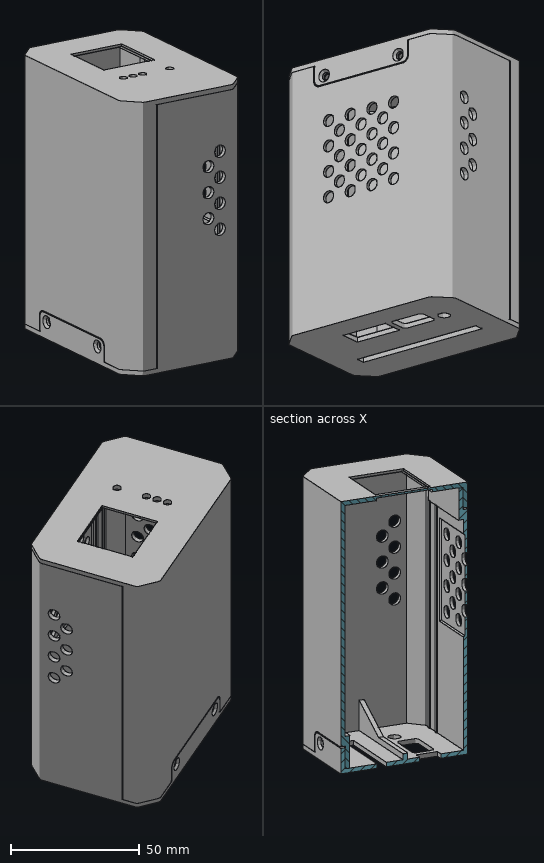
import cadquery as cq
import math

LENGTH = 82.0
DEPTH = 55.2
HEIGHT = 112.5
WALL = 2.0
CORNER_CUT = 6.9
BEND_RADIUS = 2.0
GAP = 0.5
SEAM_Y = -14.3

FRONT_Y = -DEPTH / 2
BACK_Y = DEPTH / 2
INNER_FRONT_Y = FRONT_Y + WALL
INNER_BACK_Y = BACK_Y - WALL
FLOOR_TOP_Z = WALL
CEILING_Z = HEIGHT - WALL

TAB_HALF_WIDTH = 23.0
TAB_HEIGHT = 10.7
TAB_RADIUS = 2.5
LIP_HALF_WIDTH = 27.0
LIP_HEIGHT = 15.4
SCREW_X = 18.2
SCREW_Z = 7.1
SCREW_DIAMETER = 3.2
SCREW_HEAD_DIAMETER = 5.2
PILOT_DIAMETER = 2.2
SCREW_POINTS = [(-SCREW_X, SCREW_Z), (SCREW_X, SCREW_Z)]

WINDOW_SIDE = 23.6
WINDOW_X = -13.3
DISPLAY_POCKET_LENGTH = 28.1
DISPLAY_POCKET_WIDTH = 24.1
DISPLAY_POCKET_DEPTH = 1.0
INDICATOR_DIAMETER = 3.2
INDICATOR_X = 10.8
INDICATOR_Y = (-10.7, -6.2, -1.7, 10.9)

VENT_DIAMETER = 5.0
VENT_PITCH = 5.34
VENT_ROWS = 7
VENT_BOTTOM_Z = 54.0
SIDE_VENT_Y = (14.7, 14.7 - VENT_PITCH)
BACK_VENT_COLUMNS = ((-3, -1, 1, 3), (-2, 0, 2))
VENT_POCKET_DEPTH = 0.6
VENT_POCKET_MARGIN = 2.2
VENT_POCKET_TAPER = 45.0

GUIDE_X = (23.6, 30.0)
GUIDE_WIDTH = 1.2
GUIDE_HEIGHT = 0.5

CONNECTOR_Y = (6.6, 15.8)
SOCKET_X = (-20.7, -5.3)
SOCKET_RADIUS = 1.6
PLUG_X = (-2.8, 18.0)
FLOOR_HOLE_DIAMETER = 5.0
FLOOR_HOLE_CENTER = (-26.2, 8.4)
SLOT_X = (-29.2, 29.2)
SLOT_Y = (-11.8, -7.9)

RIB_Y = (-0.7, 1.5)
RIB_TOP_Z = 4.5
RIB_FLAT_HALF_LENGTH = 21.6
RIB_RAMP_ANGLE = 30.0


def box_between(x, y, z):
    """Box spanning the (low, high) pairs along the three axes."""
    size = (x[1] - x[0], y[1] - y[0], z[1] - z[0])
    return cq.Workplane("XY").box(*size, centered=False).translate((x[0], y[0], z[0]))


def octagon_prism(inset, z):
    """Rectangle with cut corners, every side moved in by the inset."""
    return (
        cq.Workplane("XY")
        .workplane(offset=z[0])
        .rect(LENGTH - 2 * inset, DEPTH - 2 * inset)
        .extrude(z[1] - z[0])
        .edges("|Z")
        .chamfer(CORNER_CUT - inset * (2 - math.sqrt(2)))
    )


def outer_prism(z):
    """Outside of the enclosure, with rounded bends."""
    return octagon_prism(0, z).edges("|Z").fillet(BEND_RADIUS)


def wall_ring():
    """All the upright walls between the floor and the top plate."""
    z = (FLOOR_TOP_Z, CEILING_Z)
    return outer_prism(z).cut(octagon_prism(WALL, z))


def space_in_front_of(y):
    """The half of the enclosure's space on the front side of a plane."""
    return box_between((-LENGTH / 2, LENGTH / 2), (FRONT_Y, y), (0, HEIGHT))


def holes_along_y(diameter, points, y):
    """Holes at (x, z) points between two y positions."""
    return (
        cq.Workplane("XZ", origin=(0, y[1], 0))
        .pushPoints(points)
        .circle(diameter / 2)
        .extrude(y[1] - y[0])
    )


def tab_block(growth):
    """Front bottom tab with two rounded corners, enlarged by the growth."""
    half = TAB_HALF_WIDTH + growth
    block = box_between((-half, half), (FRONT_Y, INNER_FRONT_Y), (0, TAB_HEIGHT + growth))
    return block.edges("|Y and >Z").fillet(TAB_RADIUS + growth)


def screw_tab():
    """Front bottom tab with two countersunk screw holes."""
    tab = tab_block(0).cut(holes_along_y(SCREW_DIAMETER, SCREW_POINTS, (FRONT_Y, INNER_FRONT_Y)))
    head_radius = SCREW_HEAD_DIAMETER / 2
    screw_radius = SCREW_DIAMETER / 2
    for x, z in SCREW_POINTS:
        mouth = cq.Vector(x, FRONT_Y, z)
        sink = cq.Solid.makeCone(
            head_radius, screw_radius, head_radius - screw_radius, mouth, cq.Vector(0, 1, 0)
        )
        tab = tab.cut(cq.Workplane(sink))
    return tab


def screw_lip():
    """Plate behind the front bottom tab with two pilot holes."""
    y = (INNER_FRONT_Y, INNER_FRONT_Y + WALL)
    lip = box_between((-LIP_HALF_WIDTH, LIP_HALF_WIDTH), y, (FLOOR_TOP_Z, LIP_HEIGHT))
    return lip.cut(holes_along_y(PILOT_DIAMETER, SCREW_POINTS, y))


def at_back_top(shape):
    """Half turn about the length axis: front bottom becomes back top."""
    return shape.rotate((0, 0, HEIGHT / 2), (1, 0, HEIGHT / 2), 180)


def vent_row_z(row):
    return VENT_BOTTOM_Z + row * VENT_PITCH


def side_vents():
    """Two staggered columns through both side walls."""
    points = [(SIDE_VENT_Y[row % 2], vent_row_z(row)) for row in range(VENT_ROWS)]
    return (
        cq.Workplane("YZ", origin=(-LENGTH / 2, 0, 0))
        .pushPoints(points)
        .circle(VENT_DIAMETER / 2)
        .extrude(LENGTH)
    )


def back_vents():
    """Staggered vents in the back wall and the shallow pocket inside them."""
    points = [
        (column * VENT_PITCH, vent_row_z(row))
        for row in range(VENT_ROWS)
        for column in BACK_VENT_COLUMNS[row % 2]
    ]
    holes = holes_along_y(VENT_DIAMETER, points, (INNER_BACK_Y, BACK_Y))

    reach = VENT_DIAMETER / 2 + VENT_POCKET_MARGIN + VENT_POCKET_DEPTH
    half_length = max(BACK_VENT_COLUMNS[0]) * VENT_PITCH + reach
    pocket_z = (VENT_BOTTOM_Z - reach, vent_row_z(VENT_ROWS - 1) + reach)
    pocket = (
        cq.Workplane("XZ", origin=(0, INNER_BACK_Y, sum(pocket_z) / 2))
        .rect(2 * half_length, pocket_z[1] - pocket_z[0])
        .extrude(-VENT_POCKET_DEPTH, taper=VENT_POCKET_TAPER)
    )
    return holes.union(pocket)


def guide_ribs():
    """Low vertical ribs on the back wall, from the floor to the lip, on both sides."""
    y = (INNER_BACK_Y - GUIDE_HEIGHT, INNER_BACK_Y)
    ribs = cq.Workplane("XY")
    for x in GUIDE_X:
        for side in (-1, 1):
            across = (side * x - GUIDE_WIDTH / 2, side * x + GUIDE_WIDTH / 2)
            ribs = ribs.add(box_between(across, y, (FLOOR_TOP_Z, HEIGHT - LIP_HEIGHT)))
    return ribs.combine()


def floor_rib():
    end_x = LENGTH / 2 - WALL
    rise = (end_x - RIB_FLAT_HALF_LENGTH) * math.tan(math.radians(RIB_RAMP_ANGLE))
    outline = [
        (-end_x, FLOOR_TOP_Z),
        (end_x, FLOOR_TOP_Z),
        (end_x, RIB_TOP_Z + rise),
        (RIB_FLAT_HALF_LENGTH, RIB_TOP_Z),
        (-RIB_FLAT_HALF_LENGTH, RIB_TOP_Z),
        (-end_x, RIB_TOP_Z + rise),
    ]
    return (
        cq.Workplane("XZ", origin=(0, RIB_Y[1], 0))
        .polyline(outline)
        .close()
        .extrude(RIB_Y[1] - RIB_Y[0])
    )


def floor_openings():
    z = (0, FLOOR_TOP_Z)
    socket = box_between(SOCKET_X, CONNECTOR_Y, z).edges("|Z").fillet(SOCKET_RADIUS)
    plug = box_between(PLUG_X, CONNECTOR_Y, z)
    slot = box_between(SLOT_X, SLOT_Y, z)
    hole = cq.Workplane("XY").center(*FLOOR_HOLE_CENTER).circle(FLOOR_HOLE_DIAMETER / 2).extrude(WALL)
    return socket.add(plug).add(slot).add(hole).combine()


def top_openings():
    """Display window with its wider pocket underneath, and the indicator holes."""
    plate = cq.Workplane("XY", origin=(0, 0, CEILING_Z))
    window = plate.center(WINDOW_X, 0).rect(WINDOW_SIDE, WINDOW_SIDE).extrude(WALL)
    pocket = (
        plate.center(WINDOW_X, 0)
        .rect(DISPLAY_POCKET_LENGTH, DISPLAY_POCKET_WIDTH)
        .extrude(DISPLAY_POCKET_DEPTH)
    )
    indicators = (
        plate.pushPoints([(INDICATOR_X, y) for y in INDICATOR_Y])
        .circle(INDICATOR_DIAMETER / 2)
        .extrude(WALL)
    )
    return window.union(pocket).union(indicators)


def make_base():
    """Floor, back wall and side walls, with a screw tab at the foot of the front."""
    base = wall_ring().cut(space_in_front_of(SEAM_Y))
    base = base.union(outer_prism((0, FLOOR_TOP_Z)))
    base = base.cut(at_back_top(tab_block(GAP)))
    base = base.union(screw_tab()).union(at_back_top(screw_lip()))
    base = base.union(floor_rib()).union(guide_ribs())
    return base.cut(side_vents()).cut(back_vents()).cut(floor_openings())


def make_cover():
    """Top plate and front panel, with a screw tab at the top of the back."""
    cover = wall_ring().intersect(space_in_front_of(SEAM_Y - GAP))
    cover = cover.union(outer_prism((CEILING_Z, HEIGHT)))
    cover = cover.cut(tab_block(GAP))
    cover = cover.union(at_back_top(screw_tab())).union(screw_lip())
    return cover.cut(top_openings())


base = make_base()
cover = make_cover()

result = cq.Compound.makeCompound([base.val(), cover.val()])